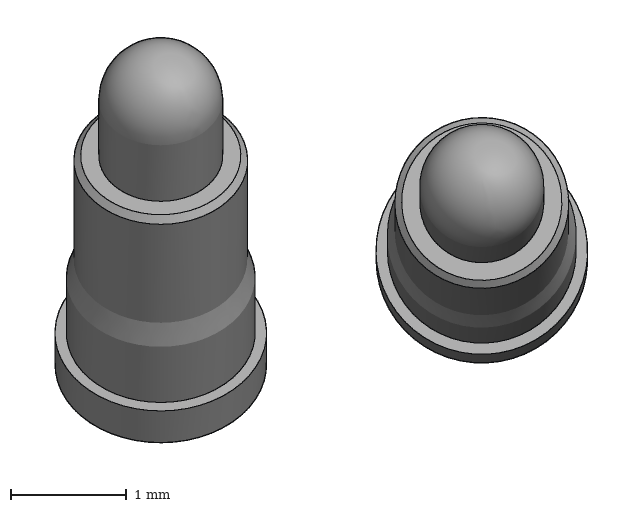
import cadquery as cq

total_height = 3.94

flange_diameter = 1.83
base_diameter = 1.63
barrel_diameter = 1.5
plunger_diameter = 1.07

flange_top = 0.41
base_top = 1.123
taper_top = 1.36
barrel_top = 2.687

barrel_chamfer = 0.06


def cylinder(diameter, bottom, top):
    """Upright cylinder on the Z axis between two heights."""
    return cq.Workplane("XY").workplane(offset=bottom).circle(diameter / 2).extrude(top - bottom)


flange = cylinder(flange_diameter, 0, flange_top)
base = cylinder(base_diameter, flange_top, base_top)

taper = (
    cq.Workplane("XY")
    .workplane(offset=base_top)
    .circle(base_diameter / 2)
    .workplane(offset=taper_top - base_top)
    .circle(barrel_diameter / 2)
    .loft(ruled=True)
)

barrel = cylinder(barrel_diameter, taper_top, barrel_top).faces(">Z").edges().chamfer(barrel_chamfer)

plunger_radius = plunger_diameter / 2
tip_center = total_height - plunger_radius
plunger = cylinder(plunger_diameter, barrel_top, tip_center)
tip = (
    cq.Workplane("XZ")
    .moveTo(0, tip_center)
    .lineTo(plunger_radius, tip_center)
    .radiusArc((0, total_height), -plunger_radius)
    .close()
    .revolve(360, (0, 0, 0), (0, 1, 0))
)

result = flange.union(base).union(taper).union(barrel).union(plunger).union(tip)